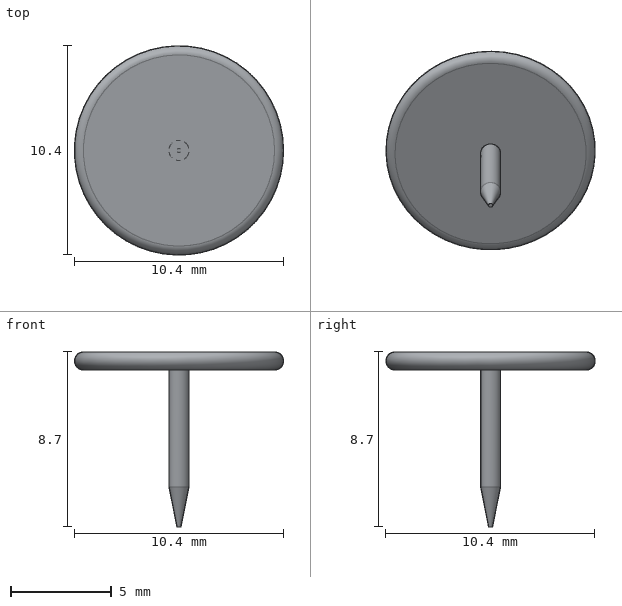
import cadquery as cq

head_thickness = 0.9
head_flat_diameter = 9.5
shank_diameter = 1.0
shank_length = 5.8
point_length = 2.0
tip_diameter = 0.2

rim_radius = head_thickness / 2
flat_radius = head_flat_diameter / 2
shank_radius = shank_diameter / 2
tip_radius = tip_diameter / 2
tip_z = -(shank_length + point_length)


def make_head():
    """Flat round head with a fully rounded rim."""
    return (
        cq.Workplane("XZ")
        .lineTo(flat_radius, 0)
        .threePointArc(
            (flat_radius + rim_radius, rim_radius),
            (flat_radius, head_thickness),
        )
        .lineTo(0, head_thickness)
        .close()
        .revolve(360, (0, 0), (0, 1))
    )


def make_pin():
    """Straight shank with a blunt conical point, butted against the head."""
    return (
        cq.Workplane("XZ")
        .lineTo(shank_radius, 0)
        .lineTo(shank_radius, -shank_length)
        .lineTo(tip_radius, tip_z)
        .lineTo(0, tip_z)
        .close()
        .revolve(360, (0, 0), (0, 1))
    )


head = make_head()
pin = make_pin()

result = cq.Compound.makeCompound([head.val(), pin.val()])